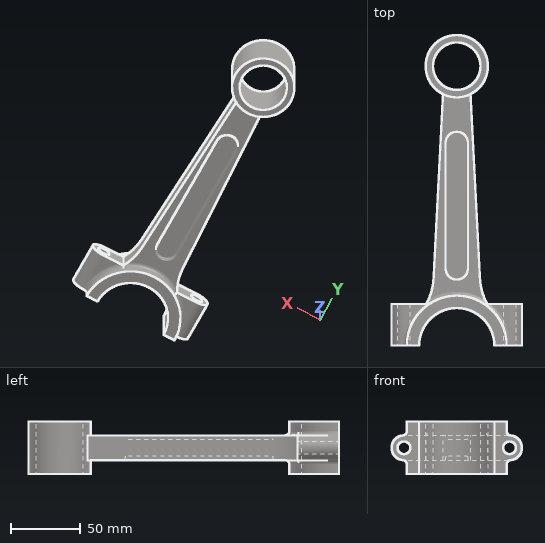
import cadquery as cq
import math


tolerance = 1e-3

end_height = 38.0
overall_length = 223.7
big_outer_radius = 36.0
big_bore_radius = 27.0
small_outer_radius = 22.5
small_bore_radius = 17.0
small_end_y = overall_length - small_outer_radius

lug_radius = 9.0
lug_bolt_x = 38.0
lug_length = 30.0
bolt_hole_diameter = 9.0

shank_thickness = 2 * lug_radius
shank_tip_half_width = 10.0
shank_root_half_width = 16.8
shank_root_y = 48.0
shank_tip_y = small_end_y - math.sqrt(small_outer_radius**2 - shank_tip_half_width**2)
flare_half_width = 22.0
big_end_fillet = 3.0

pocket_width = 16.0
pocket_start_y = 47.5
pocket_end_y = 154.0
pocket_depth = 3.0
pocket_rim_fillet = 1.0
pocket_floor_fillet = 1.0


def cylinder(radius, center_y, height):
    """Upright cylinder centred on the rod's mid plane."""
    return cq.Workplane("XY", origin=(0, center_y, -height / 2)).circle(radius).extrude(height)


def make_shank():
    """Tapered bar from the joint face to inside the small end, flared tangentially at the big end."""
    right_half = (
        cq.Workplane("XY", origin=(0, 0, -shank_thickness / 2))
        .moveTo(0, small_end_y)
        .lineTo(shank_tip_half_width, shank_tip_y)
        .lineTo(shank_root_half_width, shank_root_y)
        .tangentArcPoint((flare_half_width, lug_length), relative=False)
        .lineTo(flare_half_width, 0)
        .lineTo(0, 0)
        .close()
        .extrude(shank_thickness)
    )
    return right_half.union(right_half.mirror("YZ")).clean()


def make_lugs():
    """Round-sided bar that carries both bolt holes, overlong past the joint face until it is split."""
    overrun = 2 * big_outer_radius
    return (
        cq.Workplane("XZ", origin=(0, lug_length, 0))
        .slot2D(2 * (lug_bolt_x + lug_radius), 2 * lug_radius)
        .extrude(lug_length + overrun)
    )


def lies_on_shank_face(edge):
    """True for level edges in the plane of the shank's top or bottom face."""
    is_level = edge.BoundingBox().zlen < tolerance
    return is_level and abs(abs(edge.Center().z) - shank_thickness / 2) < tolerance


def is_big_end_seam(edge):
    """True for the edges where the big-end cylinder meets the flat faces of the shank and the lugs."""
    start, middle = edge.positionAt(0), edge.positionAt(0.5)
    on_cylinder = all(abs(math.hypot(p.x, p.y) - big_outer_radius) < tolerance for p in (start, middle))
    return on_cylinder and lies_on_shank_face(edge)


def make_big_end():
    """Big end, lugs and shank, blended together whole and then split at the joint face."""
    whole = cylinder(big_outer_radius, 0, end_height).union(make_lugs()).union(make_shank())
    seams = [edge for edge in whole.edges().vals() if is_big_end_seam(edge)]
    blended = whole.newObject(seams).fillet(big_end_fillet)
    kept_side = (
        cq.Workplane("XY")
        .box(4 * big_outer_radius, overall_length, 2 * end_height, centered=(True, False, True))
    )
    return blended.intersect(kept_side)


def make_bolt_hole(x):
    """Hole along Y through a lug."""
    return cq.Workplane("XZ", origin=(x, lug_length, 0)).circle(bolt_hole_diameter / 2).extrude(lug_length)


def make_pocket():
    """Round-ended pocket for the top face, with a rounded floor."""
    return (
        cq.Workplane("XY", origin=(0, (pocket_start_y + pocket_end_y) / 2, shank_thickness / 2))
        .slot2D(pocket_end_y - pocket_start_y, pocket_width, 90)
        .extrude(-pocket_depth)
        .faces("<Z")
        .edges()
        .fillet(pocket_floor_fillet)
    )


def is_pocket_rim(edge):
    """True for the edges where a pocket wall breaks through the top or bottom face of the shank."""
    box = edge.BoundingBox()
    within_width = max(-box.xmin, box.xmax) < pocket_width / 2 + tolerance
    within_length = box.ymin > pocket_start_y - tolerance and box.ymax < pocket_end_y + tolerance
    return lies_on_shank_face(edge) and within_width and within_length


body = make_big_end()
body = body.union(cylinder(small_outer_radius, small_end_y, end_height))
body = body.cut(cylinder(big_bore_radius, 0, end_height))
body = body.cut(cylinder(small_bore_radius, small_end_y, end_height))
for x in (-lug_bolt_x, lug_bolt_x):
    body = body.cut(make_bolt_hole(x))
for pocket in (make_pocket(), make_pocket().mirror("XY")):
    body = body.cut(pocket)
pocket_rims = [edge for edge in body.edges().vals() if is_pocket_rim(edge)]
result = body.newObject(pocket_rims).fillet(pocket_rim_fillet)